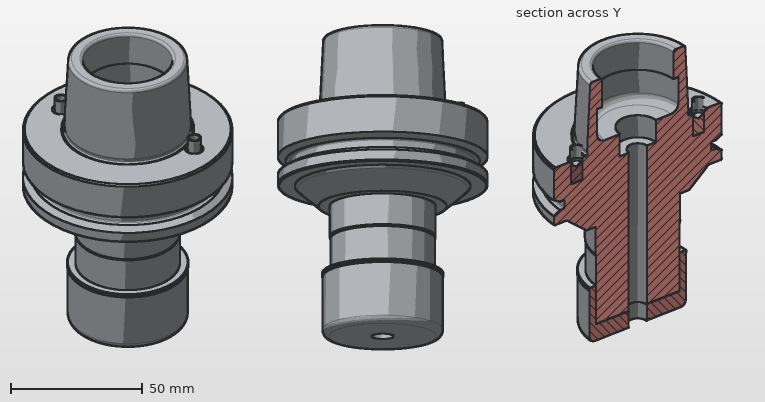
import cadquery as cq
import math

total_height = 117.0
rim_top_z = 24.9
stem_step_z = 38.4
cone_bottom_z = 51.1
flange_bottom_z = 59.1
flange_top_z = 85.1

taper_base_d = 48.4
taper_ratio = 0.1
taper_base_z = 86.9
taper_top_round = 1.3
foot_d = 48.1
foot_chamfer_height = 0.7

relief_d = 50.8
relief_floor_d = 49.6
relief_depth = 0.2
relief_round = (relief_floor_d - foot_d) / 2

bore_d = 34.0
bore_mouth_round = 1.2
bore_step_z = 103.8
undercut_d = 38.4
bore_floor_d = 31.6
undercut_round = (undercut_d - bore_floor_d) / 2
bore_floor_z = 88.7
socket_d = 17.0
socket_depth = 10.0
through_d = 8.4

flange_d = 80.0
flange_chamfer = 0.7
flange_bottom_chamfer = 0.5
groove_d = 70.2
groove_lip_d = 74.2
groove_corner_round = 0.4
groove_top_z = 68.8
groove_bottom_z = 65.2
flank_angle = 30.0
flank_height = (flange_d - groove_lip_d) / 2 * math.tan(math.radians(flank_angle))

collar_d = 67.2
collar_chamfer = 1.0
cone_bottom_d = 48.9
neck_d = 40.5
stem_d = 40.0
stem_chamfer_height = 0.7
stem_engagement = 17.5

nut_d = 46.0
nut_round = 2.6
rim_d = 46.5
rim_height = 1.4
rim_chamfer = 0.4

pin_d = 5.0
pin_radius_on_flange = 29.0
pin_top_z = 90.1
pin_bottom_z = 74.9
pin_bore_d = 4.2
pin_bore_depth = 7.0
pin_countersink_d = 7.0
drill_half_angle = 59.0

stem_bottom_z = rim_top_z - stem_engagement


def cylinder(diameter, bottom_z, top_z, x=0.0):
    """Vertical cylinder between two heights."""
    return (
        cq.Workplane("XY", origin=(x, 0, bottom_z))
        .circle(diameter / 2)
        .extrude(top_z - bottom_z)
    )


def frustum(bottom_d, top_d, bottom_z, top_z, x=0.0):
    """Vertical cone; a zero diameter gives a point."""
    solid = cq.Solid.makeCone(
        bottom_d / 2, top_d / 2, top_z - bottom_z, cq.Vector(x, 0, bottom_z)
    )
    return cq.Workplane(obj=solid)


def pin_positions():
    return [-pin_radius_on_flange, pin_radius_on_flange]


def make_taper():
    """Taper shank with rounded nose, standing on a straight foot."""
    foot_top_z = taper_base_z - foot_chamfer_height
    foot_bottom_z = flange_top_z - relief_depth
    taper_top_d = taper_base_d - taper_ratio * (total_height - taper_base_z)
    taper = frustum(taper_base_d, taper_top_d, taper_base_z, total_height)
    taper = taper.faces(">Z").edges().fillet(taper_top_round)
    foot_chamfer = frustum(foot_d, taper_base_d, foot_top_z, taper_base_z)
    foot = cylinder(foot_d, foot_bottom_z, foot_top_z)
    return taper.union(foot_chamfer).union(foot).union(make_foot_fillet(foot_bottom_z))


def make_foot_fillet(floor_z):
    """Ring that blends the foot into the floor of the relief groove."""
    return (
        cq.Workplane("XZ")
        .moveTo(foot_d / 2 - relief_round, floor_z)
        .lineTo(relief_floor_d / 2, floor_z)
        .radiusArc((foot_d / 2, floor_z + relief_round), relief_round)
        .lineTo(foot_d / 2 - relief_round, floor_z + relief_round)
        .close()
        .revolve(360, (0, 0), (0, 1))
    )


def make_flange():
    """Flange with gripper groove and the relief groove in its seating face."""
    flange = cylinder(flange_d, flange_bottom_z, flange_top_z)
    flange = flange.faces(">Z").edges().chamfer(flange_chamfer)
    flange = flange.faces("<Z").edges().chamfer(flange_bottom_chamfer)

    r_out, r_lip, r_in = flange_d / 2, groove_lip_d / 2, groove_d / 2
    gripper_groove = (
        cq.Workplane("XZ")
        .polyline([
            (r_out, groove_bottom_z - flank_height),
            (r_lip, groove_bottom_z),
            (r_in, groove_bottom_z),
            (r_in, groove_top_z),
            (r_lip, groove_top_z),
            (r_out, groove_top_z + flank_height),
        ])
        .close()
        .revolve(360, (0, 0), (0, 1))
    )
    groove_corners = cq.selectors.RadiusNthSelector(0)
    gripper_groove = gripper_groove.edges(groove_corners).fillet(groove_corner_round)
    relief = frustum(relief_floor_d, relief_d, flange_top_z - relief_depth, flange_top_z)
    return flange.cut(gripper_groove).cut(relief)


def make_neck():
    """Lower cone, neck and the stem that carries the nut."""
    cone_top_z = flange_bottom_z - collar_chamfer
    cone_top_d = collar_d - 2 * collar_chamfer
    collar = frustum(cone_top_d, collar_d, cone_top_z, flange_bottom_z)
    cone = frustum(cone_bottom_d, cone_top_d, cone_bottom_z, cone_top_z)
    neck_bottom_z = stem_step_z + stem_chamfer_height
    neck = cylinder(neck_d, neck_bottom_z, cone_bottom_z)
    neck_chamfer = frustum(stem_d, neck_d, stem_step_z, neck_bottom_z)
    stem = cylinder(stem_d, stem_bottom_z, stem_step_z)
    return collar.union(cone).union(neck).union(neck_chamfer).union(stem)


def make_shank_bore():
    """Stepped bore with a rounded mouth, rounded floor edge, socket and through hole."""
    r_bore = bore_d / 2
    return (
        cq.Workplane("XZ")
        .moveTo(0, total_height)
        .lineTo(r_bore + bore_mouth_round, total_height)
        .radiusArc((r_bore, total_height - bore_mouth_round), -bore_mouth_round)
        .lineTo(r_bore, bore_step_z)
        .lineTo(undercut_d / 2, bore_step_z)
        .lineTo(undercut_d / 2, bore_floor_z + undercut_round)
        .radiusArc((bore_floor_d / 2, bore_floor_z), undercut_round)
        .lineTo(socket_d / 2, bore_floor_z)
        .lineTo(socket_d / 2, bore_floor_z - socket_depth)
        .lineTo(through_d / 2, bore_floor_z - socket_depth)
        .lineTo(through_d / 2, stem_bottom_z)
        .lineTo(0, stem_bottom_z)
        .close()
        .revolve(360, (0, 0), (0, 1))
    )


def make_holder():
    holder = make_flange().union(make_taper()).union(make_neck()).cut(make_shank_bore())
    countersink_depth = (pin_countersink_d - pin_d) / 2
    for x in pin_positions():
        holder = holder.cut(cylinder(pin_d, pin_bottom_z, flange_top_z, x))
        holder = holder.cut(
            frustum(pin_d, pin_countersink_d, flange_top_z - countersink_depth, flange_top_z, x)
        )
    return holder


def make_nut():
    """Clamping nut with a raised rim, a pocket for the stem and a through hole."""
    rim_bottom_z = rim_top_z - rim_height
    nut = cylinder(nut_d, 0, rim_bottom_z).faces("<Z").edges().fillet(nut_round)
    rim = cylinder(rim_d, rim_bottom_z, rim_top_z).edges().chamfer(rim_chamfer)
    pocket = cylinder(stem_d, stem_bottom_z, rim_top_z)
    through_hole = cylinder(through_d, 0, stem_bottom_z)
    return nut.union(rim).cut(pocket).cut(through_hole)


def make_pin(x):
    """Drive pin with a drilled blind bore in its top end."""
    bore_bottom_z = pin_top_z - pin_bore_depth
    drill_tip = pin_bore_d / 2 / math.tan(math.radians(drill_half_angle))
    pin = cylinder(pin_d, pin_bottom_z, pin_top_z, x)
    pin = pin.cut(cylinder(pin_bore_d, bore_bottom_z, pin_top_z, x))
    return pin.cut(frustum(0, pin_bore_d, bore_bottom_z - drill_tip, bore_bottom_z, x))


holder = make_holder()
nut = make_nut()
pins = [make_pin(x) for x in pin_positions()]

result = cq.Compound.makeCompound([holder.val(), nut.val(), *[pin.val() for pin in pins]])